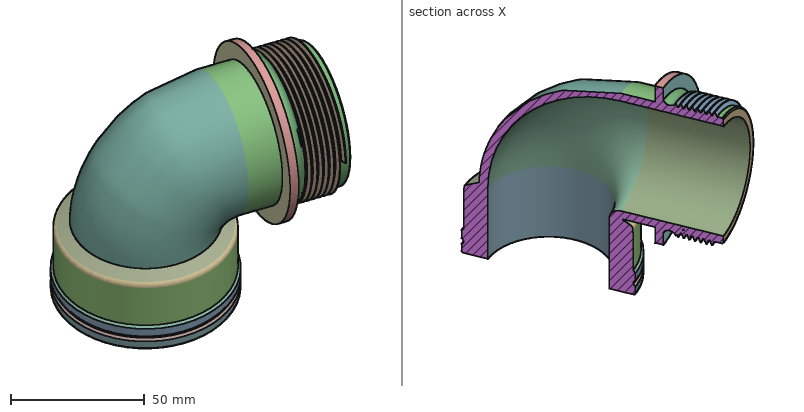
import cadquery as cq

overall_length = 107.0
overall_height = 96.8
flange_radius = 71.2 / 2
ring_radius = 71.2 / 2

pipe_radius = 56.9 / 2
bore_radius = 49.4 / 2
bend_radius = 29.5
outlet_height = overall_height - flange_radius
outlet_end = overall_length - ring_radius
end_chamfer = 0.5
bend_start_z = outlet_height - bend_radius

socket_radius = 69.2 / 2
socket_top = 33.7
shoulder_edge = 30.7
shoulder_fillet = 2.1
lower_ring_top = 4.0
upper_ring_bottom = 6.5
upper_ring_top = 10.2
ring_chamfer = ring_radius - socket_radius
bottom_chamfer_width = 0.5
bottom_chamfer_height = 0.7

flange_near = 43.3
flange_thickness = 3.5
flange_far = flange_near + flange_thickness

neck_edge_radius = 30.1
neck_width = 5.0
neck_lip_run = 0.9
neck_edge = flange_far + neck_width

thread_crest_radius = 60.6 / 2
thread_pitch = 16.2 / 7
thread_turns = 7.1
thread_start = 68.4
ridge_base_width = 2.2
ridge_crest_width = 0.3
overlap = 0.3


def elbow_body(radius):
    """Solid elbow of the given radius from Z = 0 to the outlet end."""
    path = (
        cq.Workplane("YZ")
        .moveTo(0, 0)
        .lineTo(0, bend_start_z)
        .radiusArc((bend_radius, outlet_height), bend_radius)
        .lineTo(outlet_end, outlet_height)
    )
    return cq.Workplane("XY").circle(radius).sweep(path)


def revolve_about_outlet(profile):
    """Turn a (radius, Y) profile, drawn in the XY plane, about the outlet axis."""
    ring = profile.close().revolve(360, (0, 0, 0), (0, 1, 0))
    return ring.translate((0, 0, outlet_height))


def socket():
    """Stepped collar with a sloped, rounded shoulder and two rings at its mouth."""
    profile = [
        (0, 0),
        (ring_radius - bottom_chamfer_width, 0),
        (ring_radius, bottom_chamfer_height),
        (ring_radius, lower_ring_top),
        (socket_radius, lower_ring_top + ring_chamfer),
        (socket_radius, upper_ring_bottom - ring_chamfer),
        (ring_radius, upper_ring_bottom),
        (ring_radius, upper_ring_top),
        (socket_radius, upper_ring_top + ring_chamfer),
        (socket_radius, shoulder_edge),
        (pipe_radius, socket_top),
        (0, socket_top),
    ]
    body = cq.Workplane("XZ").polyline(profile).close().revolve(360, (0, 0, 0), (0, 1, 0))
    shoulder = body.edges("%CIRCLE").edges(">>Z[-2]")
    return shoulder.fillet(shoulder_fillet)


def flange():
    """Flat disc around the horizontal pipe."""
    profile = cq.Workplane("XY").polyline([
        (0, flange_near),
        (flange_radius, flange_near),
        (flange_radius, flange_far),
        (0, flange_far),
    ])
    return revolve_about_outlet(profile)


def neck():
    """Ring with a concave outer face, ending in a lip that meets the thread."""
    inner_radius = pipe_radius - overlap
    profile = (
        cq.Workplane("XY")
        .moveTo(inner_radius, flange_far)
        .lineTo(neck_edge_radius, flange_far)
        .threePointArc((pipe_radius, flange_far + neck_width / 2), (neck_edge_radius, neck_edge))
        .lineTo(pipe_radius, neck_edge + neck_lip_run)
        .lineTo(inner_radius, neck_edge + neck_lip_run)
    )
    return revolve_about_outlet(profile)


def thread():
    """Helical ridge, built along +Z and then turned to run along -Y."""
    length = thread_turns * thread_pitch
    inner_radius = pipe_radius - overlap
    helix = cq.Wire.makeHelix(thread_pitch, length, inner_radius)
    ridge = (
        cq.Workplane("XZ")
        .polyline([
            (inner_radius, -ridge_base_width / 2),
            (thread_crest_radius, -ridge_crest_width / 2),
            (thread_crest_radius, ridge_crest_width / 2),
            (inner_radius, ridge_base_width / 2),
        ])
        .close()
        .sweep(cq.Workplane(obj=helix), isFrenet=True)
    )
    ridge = ridge.rotate((0, 0, 0), (1, 0, 0), 90)
    return ridge.translate((0, thread_start, outlet_height))


result = (
    elbow_body(pipe_radius)
    .faces(">Y")
    .edges()
    .chamfer(end_chamfer)
    .union(thread())
    .union(neck())
    .union(flange())
    .union(socket())
    .cut(elbow_body(bore_radius))
    .solids()
)